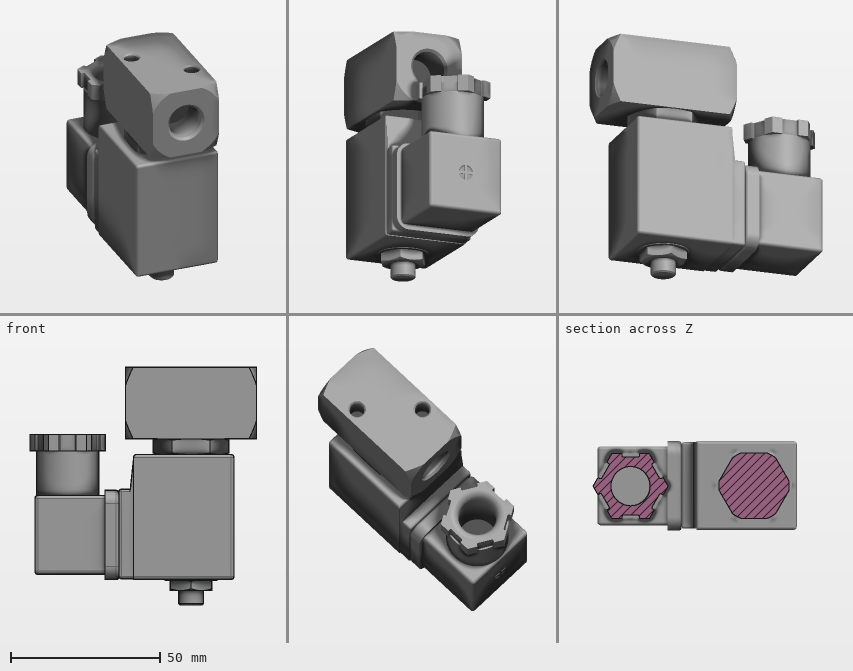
import cadquery as cq
import math


HEX_SIDES = 6
HEX_STEP = 360 / HEX_SIDES
HEX_CORNER_FACTOR = 1 / math.cos(math.pi / HEX_SIDES)

BLOCK_LENGTH = 44.0
BLOCK_SIDE = 24.0
BLOCK_END_RADIUS = 13.3
BLOCK_END_ANGLE = 35.0
PORT_DIAMETER = 11.6
PORT_MOUTH_DIAMETER = 13.3
PORT_DEPTH = 12.0
MOUNT_HOLE_DIAMETER = 5.0
MOUNT_MOUTH_DIAMETER = 6.0
MOUNT_HOLE_DEPTH = 8.0
MOUNT_HOLE_OFFSET = 7.75

COIL_LEFT = -19.3
COIL_RIGHT = 14.4
COIL_WIDTH = 29.74
COIL_TOP = -17.25
COIL_HEIGHT = 41.95
COIL_BOTTOM = COIL_TOP - COIL_HEIGHT
COIL_FILLET = 1.0

TOP_NUT_FLATS = 22.0
TOP_NUT_BEVEL_ANGLE = 15.0
BOTTOM_NUT_FLATS = 14.0
BOTTOM_NUT_BEVEL_ANGLE = 30.0
BOTTOM_NUT_HEIGHT = 3.7
WASHER_DIAMETER = 17.4
WASHER_THICKNESS = 0.25
STUD_DIAMETER = 8.4
STUD_CHAMFER = 0.5
STUD_END = -67.75

NECK_LEFT = -24.2
NECK_WIDTH = 29.0
NECK_TOP = -28.9
NECK_BOTTOM = -58.95
NECK_FILLET = 0.8
RIB_FOOT_LEFT = -20.4
RIB_TOP = -18.4

PLUG_Y = -0.15
PLUG_Z = -44.25
GASKET_SIDE = 30.0
GASKET_LEFT = -28.9
GASKET_CORNER_RADIUS = 4.4
GASKET_FILLET = 1.0
PLUG_SIDE = 26.5
PLUG_LEFT = -52.4
PLUG_FILLET = 1.1
PLUG_TOP = PLUG_Z + PLUG_SIDE / 2
SCREW_DIAMETER = 5.2
SCREW_CROSS_WIDTH = 0.8
SCREW_RECESS_DEPTH = 0.3
SCREW_RECESS_TAPER = 45.0

GLAND_X = -41.4
GLAND_NECK_DIAMETER = 21.0
CAP_CORNERS = 25.34
CAP_TOP = -10.5
CAP_BOTTOM = -16.05
CAP_NOTCH_WIDTH = 5.75
CAP_NOTCH_FILLET = 0.45
CAP_NOTCH_FLOOR = 9.8
GLAND_BORE_DIAMETER = 12.7
GLAND_MOUTH_RADIUS = 2.6


def box(x_min, x_max, width, z_min, z_max, y_mid=0.0):
    """Box from its X and Z limits, with its width centred on y_mid."""
    blank = cq.Workplane("XY").box(x_max - x_min, width, z_max - z_min)
    return blank.translate(((x_min + x_max) / 2, y_mid, (z_min + z_max) / 2))


def cylinder(x, y, z_bottom, z_top, diameter):
    """Upright cylinder between two heights."""
    return cq.Workplane("XY", origin=(x, y, z_bottom)).circle(diameter / 2).extrude(z_top - z_bottom)


def turned_blank(length, end_radius, outer_radius, angle):
    """Cylinder along Z, centred on the origin, with both ends coned down to end_radius."""
    cone = (outer_radius - end_radius) * math.tan(math.radians(angle))
    half = length / 2
    profile = [
        (0, -half),
        (end_radius, -half),
        (outer_radius, cone - half),
        (outer_radius, half - cone),
        (end_radius, half),
        (0, half),
    ]
    return cq.Workplane("XZ").polyline(profile).close().revolve(360, (0, 0, 0), (0, 1, 0))


def countersunk_drill(diameter, mouth_diameter, depth):
    """Hole cutter going down from the origin, with a 45 degree chamfer at its mouth."""
    radius = diameter / 2
    mouth = mouth_diameter / 2
    profile = [(0, 0), (mouth, 0), (radius, radius - mouth), (radius, -depth), (0, -depth)]
    return cq.Workplane("XZ").polyline(profile).close().revolve(360, (0, 0, 0), (0, 1, 0))


def bevelled_nut(flats, z_bottom, z_top, bevel_angle, turn):
    """Hexagon nut with bevelled corners; at zero turn two corners lie on the X direction."""
    height = z_top - z_bottom
    corners = flats * HEX_CORNER_FACTOR
    prism = cq.Workplane("XY", origin=(0, 0, -height / 2)).polygon(HEX_SIDES, corners).extrude(height)
    bevel = turned_blank(height, flats / 2, corners / 2, bevel_angle)
    nut = prism.intersect(bevel).rotate((0, 0, 0), (0, 0, 1), turn)
    return nut.translate((0, 0, (z_bottom + z_top) / 2))


def make_valve_block():
    half_length = BLOCK_LENGTH / 2
    half_side = BLOCK_SIDE / 2
    block = box(-half_length, half_length, BLOCK_SIDE, -half_side, half_side)
    corner_radius = half_side * math.sqrt(2)
    turned = turned_blank(BLOCK_LENGTH, BLOCK_END_RADIUS, corner_radius, BLOCK_END_ANGLE)
    block = block.intersect(turned.rotate((0, 0, 0), (0, 1, 0), 90))

    port = countersunk_drill(PORT_DIAMETER, PORT_MOUTH_DIAMETER, PORT_DEPTH)
    mount_hole = countersunk_drill(MOUNT_HOLE_DIAMETER, MOUNT_MOUTH_DIAMETER, MOUNT_HOLE_DEPTH)
    for side in (-1, 1):
        block = block.cut(port.rotate((0, 0, 0), (0, 1, 0), side * 90).translate((side * half_length, 0, 0)))
        offset = side * MOUNT_HOLE_OFFSET
        block = block.cut(mount_hole.translate((offset, offset, half_side)))
    return block


def make_coil():
    coil = box(COIL_LEFT, COIL_RIGHT, COIL_WIDTH, COIL_BOTTOM, COIL_TOP)
    return coil.edges("|X or >X or (<X and >Z)").fillet(COIL_FILLET)


def make_tube_hardware():
    """Nut between coil and block, then washer, retaining nut and stud end under the coil."""
    top_nut = bevelled_nut(TOP_NUT_FLATS, COIL_TOP, -BLOCK_SIDE / 2, TOP_NUT_BEVEL_ANGLE, 0)
    nut_bottom = COIL_BOTTOM - BOTTOM_NUT_HEIGHT
    bottom_nut = bevelled_nut(BOTTOM_NUT_FLATS, nut_bottom, COIL_BOTTOM, BOTTOM_NUT_BEVEL_ANGLE, HEX_STEP / 2)
    washer = cylinder(0, 0, COIL_BOTTOM - WASHER_THICKNESS, COIL_BOTTOM, WASHER_DIAMETER)
    stud = cylinder(0, 0, STUD_END, COIL_BOTTOM, STUD_DIAMETER).faces("<Z").chamfer(STUD_CHAMFER)
    return top_nut.union(washer).union(bottom_nut).union(stud)


def make_coil_neck():
    neck = box(NECK_LEFT, COIL_LEFT, NECK_WIDTH, NECK_BOTTOM, NECK_TOP)
    neck = neck.edges("|X or <X").fillet(NECK_FILLET)
    rib_profile = [
        (RIB_FOOT_LEFT, NECK_TOP - NECK_FILLET),
        (RIB_FOOT_LEFT, NECK_TOP),
        (COIL_LEFT, RIB_TOP),
        (COIL_LEFT, NECK_TOP - NECK_FILLET),
    ]
    rib = cq.Workplane("XZ").polyline(rib_profile).close().extrude(NECK_WIDTH / 2, both=True)
    return neck.union(rib)


def make_gasket():
    half = GASKET_SIDE / 2
    gasket = box(GASKET_LEFT, NECK_LEFT, GASKET_SIDE, PLUG_Z - half, PLUG_Z + half, PLUG_Y)
    gasket = gasket.edges("|X").fillet(GASKET_CORNER_RADIUS)
    return gasket.faces(">X").edges().fillet(GASKET_FILLET)


def make_plug():
    """Plug housing with a cross left standing in a shallow, tapered round recess."""
    plug = box(PLUG_LEFT, GASKET_LEFT, PLUG_SIDE, PLUG_Z - PLUG_SIDE / 2, PLUG_TOP, PLUG_Y)
    plug = plug.edges("|X or <X").fillet(PLUG_FILLET)
    face = cq.Workplane("YZ", origin=(PLUG_LEFT, PLUG_Y, PLUG_Z))
    recess = face.circle(SCREW_DIAMETER / 2).extrude(SCREW_RECESS_DEPTH, taper=SCREW_RECESS_TAPER)
    for bar_size in ((SCREW_DIAMETER, SCREW_CROSS_WIDTH), (SCREW_CROSS_WIDTH, SCREW_DIAMETER)):
        recess = recess.cut(face.rect(*bar_size).extrude(SCREW_RECESS_DEPTH))
    return plug.cut(recess)


def make_gland():
    """Hexagonal cap with a notch in every flat, on a round neck; the bore is cut separately."""
    cap_height = CAP_TOP - CAP_BOTTOM
    cap = cq.Workplane("XY").polygon(HEX_SIDES, CAP_CORNERS).extrude(cap_height)
    notch_depth = CAP_CORNERS / 2 - CAP_NOTCH_FLOOR
    notch = cq.Workplane("XY").box(CAP_NOTCH_WIDTH, notch_depth, cap_height, centered=(True, False, False))
    notch = notch.edges("|Z and <Y").fillet(CAP_NOTCH_FILLET)
    notch = notch.translate((0, CAP_NOTCH_FLOOR, 0))
    for index in range(HEX_SIDES):
        cap = cap.cut(notch.rotate((0, 0, 0), (0, 0, 1), index * HEX_STEP))
    neck = cylinder(GLAND_X, PLUG_Y, PLUG_Z, CAP_BOTTOM, GLAND_NECK_DIAMETER)
    return neck.union(cap.translate((GLAND_X, PLUG_Y, CAP_BOTTOM)))


def make_gland_bore():
    """Cutter for the cable entry: a bore down to the plug with a rounded mouth."""
    radius = GLAND_BORE_DIAMETER / 2
    depth = CAP_TOP - PLUG_TOP
    diagonal = GLAND_MOUTH_RADIUS * (1 - math.sqrt(0.5))
    profile = (
        cq.Workplane("XZ")
        .moveTo(0, 0)
        .lineTo(radius + GLAND_MOUTH_RADIUS, 0)
        .threePointArc((radius + diagonal, -diagonal), (radius, -GLAND_MOUTH_RADIUS))
        .lineTo(radius, -depth)
        .lineTo(0, -depth)
        .close()
    )
    return profile.revolve(360, (0, 0, 0), (0, 1, 0)).translate((GLAND_X, PLUG_Y, CAP_TOP))


result = make_valve_block()
for make_component in (make_tube_hardware, make_coil, make_coil_neck, make_gasket, make_plug, make_gland):
    result = result.union(make_component())
result = result.cut(make_gland_bore())